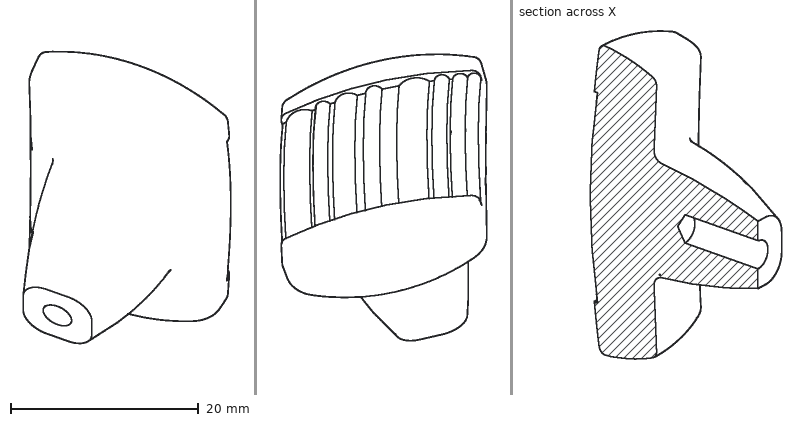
import cadquery as cq
import math


PLATE_WIDTH = 22.0
HALF_WIDTH = PLATE_WIDTH / 2
FRONT_Y = 14.28
FRONT_ARC = 30.0
FRONT_BEND = 300.0
FRONT_CORNER = 3.0
BACK_Y = 23.17
BACK_ARC = 43.0
BACK_BEND = 117.0
LONG_EDGE_LIMIT_Y = 19.0
EDGE_ROUND = 1.0

END_ARC = 30.0
END_BACK = (24.0, 18.49)
END_MIDDLE = (17.3, 17.7)
END_FRONT = (13.0, 15.98)

PAD_HALF_LENGTH = 12.45
PAD_Y = 22.5
PAD_BEND = 77.0
PAD_EDGE_ROUND = 0.3
RIDGE_TOP_Y = 23.15
RIDGES = [
    (-10.26, 0.7),
    (-8.78, 0.8),
    (-6.86, 0.8),
    (-3.79, 1.6),
    (0.46, 0.9),
    (3.50, 1.25),
    (6.20, 0.85),
    (8.70, 1.5),
]

STEM_TIP_HALF = 4.0
STEM_ROOT_HALF = 6.9
STEM_ROOT_Y = 14.4
STEM_BURIED_Y = 18.0
STEM_BULGE = 0.48
STEM_TIP_CORNER = 2.75
STEM_ROOT_CORNER = 1.3
ROOT_FILLET = 1.0

HOLE_DIAMETER = 3.3
HOLE_DEPTH = 10.0
DRILL_ANGLE = 118.0

REACH = 30.0
EDGE_MARGIN = 1.0


def crown_drop(x, radius):
    """Fall of a circular crown at distance x from its centre."""
    return radius - math.sqrt(radius**2 - x**2)


def bend(profile, apex_y, radius):
    """Sweep an XY profile along Z around an X-parallel axis in front of the plate."""
    axis_y = apex_y - radius
    sweep = 2 * math.degrees(math.asin(REACH / radius))
    solid = profile.revolve(sweep, (0, axis_y, 0), (1, axis_y, 0))
    return solid.rotate((0, axis_y, 0), (1, axis_y, 0), -sweep / 2)


def front_blank():
    """Plate with its sides, crowned front and rounded long front edges."""
    edge_y = FRONT_Y + crown_drop(HALF_WIDTH, FRONT_ARC)
    profile = (
        cq.Workplane("XY")
        .moveTo(-HALF_WIDTH, REACH)
        .lineTo(-HALF_WIDTH, edge_y)
        .threePointArc((0, FRONT_Y), (HALF_WIDTH, edge_y))
        .lineTo(HALF_WIDTH, REACH)
        .close()
    )
    blank = bend(profile, FRONT_Y, FRONT_BEND)
    corners = cq.selectors.BoxSelector(
        (-REACH, edge_y - EDGE_MARGIN, -EDGE_MARGIN), (REACH, edge_y + EDGE_MARGIN, EDGE_MARGIN)
    )
    return blank.edges(corners).fillet(FRONT_CORNER)


def back_envelope(apex_y, radius):
    """Everything in front of a crowned and bent back face."""
    edge_y = apex_y - crown_drop(REACH / 2, BACK_ARC)
    profile = (
        cq.Workplane("XY")
        .moveTo(-REACH / 2, 0)
        .lineTo(-REACH / 2, edge_y)
        .threePointArc((0, apex_y), (REACH / 2, edge_y))
        .lineTo(REACH / 2, 0)
        .close()
    )
    return bend(profile, apex_y, radius)


def end_envelope():
    """Everything inside the crowned end face on the +Z end."""
    axis_z = END_BACK[1] - END_ARC
    profile = (
        cq.Workplane("YZ")
        .moveTo(END_FRONT[0], axis_z)
        .lineTo(*END_FRONT)
        .threePointArc(END_MIDDLE, END_BACK)
        .lineTo(END_BACK[0], axis_z)
        .close()
    )
    return profile.revolve(360, (0, axis_z, 0), (1, axis_z, 0))


def plate(back_y, back_bend, edge_round):
    """Plate with the given back face, rounded around both ends and along the back edges."""
    end = end_envelope()
    body = front_blank().intersect(back_envelope(back_y, back_bend))
    body = body.intersect(end).intersect(end.mirror("XY"))
    smooth_long_edges = cq.selectors.BoxSelector(
        (-REACH, FRONT_Y, -EDGE_MARGIN), (REACH, LONG_EDGE_LIMIT_Y, EDGE_MARGIN)
    )
    return body.edges(cq.selectors.InverseSelector(smooth_long_edges)).fillet(edge_round)


def pad_slab():
    """Back half of the stretch of length taken up by the pad."""
    slab = cq.Workplane("XY").box(2 * REACH, 2 * REACH, 2 * PAD_HALF_LENGTH)
    return slab.translate((0, LONG_EDGE_LIMIT_Y + REACH, 0))


def ridges():
    """Round-topped ribs of circular section, joined, bent along the pad and trimmed to it."""
    sections = cq.Sketch()
    height = RIDGE_TOP_Y - PAD_Y
    for x, half_width in RIDGES:
        radius = (half_width**2 + height**2) / (2 * height)
        centre_y = RIDGE_TOP_Y - crown_drop(x, BACK_ARC) - radius
        sections = sections.push([(x, centre_y)]).circle(radius).reset()
    bars = bend(cq.Workplane("XY").placeSketch(sections.clean()), PAD_Y, PAD_BEND)
    return bars.intersect(pad_slab()).intersect(front_blank())


def stem_section(y):
    """Half width and corner radius of the square stem at distance y from its tip."""
    t = y / STEM_ROOT_Y
    half = STEM_TIP_HALF + (STEM_ROOT_HALF - STEM_TIP_HALF) * t + 4 * STEM_BULGE * t * (1 - t)
    corner = STEM_TIP_CORNER + (STEM_ROOT_CORNER - STEM_TIP_CORNER) * t
    return half, corner


def stem():
    """Bowed square stem that widens from its tip to the plate."""
    wires = []
    for y in (0, STEM_ROOT_Y / 2, STEM_ROOT_Y, STEM_BURIED_Y):
        half, corner = stem_section(y)
        outline = cq.Sketch().rect(2 * half, 2 * half).vertices().fillet(corner)
        section = cq.Workplane("XZ", origin=(0, y, 0)).placeSketch(outline)
        wires.append(section.extrude(-1).faces("<Y").wires().val())
    return cq.Workplane(cq.Solid.makeLoft(wires))


def hole():
    """Drilled hole with its conical bottom."""
    radius = HOLE_DIAMETER / 2
    cone = radius / math.tan(math.radians(DRILL_ANGLE / 2))
    profile = (
        cq.Workplane("XY")
        .lineTo(radius, 0)
        .lineTo(radius, HOLE_DEPTH)
        .lineTo(0, HOLE_DEPTH + cone)
        .close()
    )
    return profile.revolve(360, (0, 0, 0), (0, 1, 0))


def stem_root_edges():
    """Box around the line where the stem meets the plate."""
    reach = STEM_ROOT_HALF + EDGE_MARGIN
    rear_y = FRONT_Y + crown_drop(STEM_ROOT_HALF, FRONT_ARC) + EDGE_MARGIN
    return cq.selectors.BoxSelector(
        (-reach, FRONT_Y - EDGE_MARGIN, -reach), (reach, rear_y, reach), boundingbox=True
    )


recess = pad_slab().cut(plate(PAD_Y, PAD_BEND, PAD_EDGE_ROUND))
result = plate(BACK_Y, BACK_BEND, EDGE_ROUND).cut(recess).union(stem())
result = result.edges(stem_root_edges()).fillet(ROOT_FILLET)
result = result.union(ridges()).cut(hole())